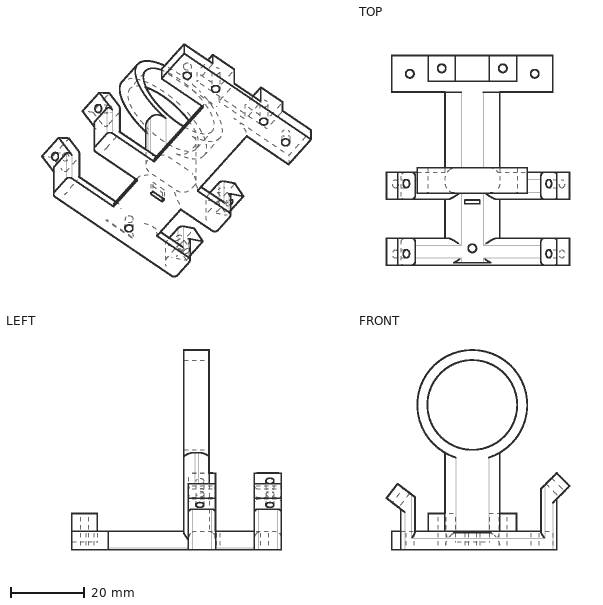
import cadquery as cq
import math

total_depth = 57.15
base_height = 5.15
hole_diameter = 2.2

spine_width = 15.0
spine_front = 0.7
spine_edge_radius = 4.5
column_depth = 7.0
column_front = 19.65
column_edge_radius = 3.0

ring_outer_diameter = 30.0
ring_inner_diameter = 24.4
total_height = 54.5
ring_center_z = total_height - ring_outer_diameter / 2

arm_depth = 7.45
arm_pitch = 17.95
beam_edge_radius = 2.0
post_inner_radius = 1.05
post_outer_radius = 1.15
tip_length = 6.05
tip_thickness = 5.0
tip_hole_shift = 0.6

left_post = dict(side=-1, inner_x=15.55, outer_x=19.5, bend_z=14.35, tilt=37.5)
right_post = dict(side=1, inner_x=18.7, outer_x=23.05, bend_z=16.65, tilt=45.0)

flange_width = 43.9
flange_depth = 10.0
block_span = 24.1
block_width = 7.5
block_depth = 7.05
block_top = 9.95
pocket_floor = 2.2

spine_hole_y = 4.65
slot_width = 4.0
slot_depth = 1.0
slot_y = 17.25


def box(x_min, x_max, y_min, y_max, z_max):
    """Box standing on the ground plane."""
    return cq.Workplane("XY").box(
        x_max - x_min, y_max - y_min, z_max, centered=False
    ).translate((x_min, y_min, 0))


def prism(points, y_min, depth):
    """Outline in X and Z, extruded toward +Y."""
    return cq.Workplane("XZ", origin=(0, y_min, 0)).polyline(points).close().extrude(-depth)


def vertical_hole(x, y):
    return cq.Workplane("XY").center(x, y).circle(hole_diameter / 2).extrude(total_height)


def make_spine():
    half = spine_width / 2
    spine = box(-half, half, spine_front, total_depth - flange_depth, base_height)
    return spine.edges("|Y and >Z").fillet(spine_edge_radius)


def make_column_and_ring():
    half = spine_width / 2
    column = box(-half, half, column_front, column_front + column_depth, ring_center_z)
    column = column.edges("|Z").fillet(column_edge_radius)
    ring_plane = cq.Workplane("XZ", origin=(0, column_front, ring_center_z))
    ring = ring_plane.circle(ring_outer_diameter / 2).extrude(-column_depth)
    bore = ring_plane.circle(ring_inner_diameter / 2).extrude(-column_depth)
    return column.union(ring).cut(bore)


def make_post(y_min, hole_y, side, inner_x, outer_x, bend_z, tilt):
    """Rounded upright whose drilled tip leans outward by tilt degrees above horizontal."""
    cos_tilt = math.cos(math.radians(tilt))
    sin_tilt = math.sin(math.radians(tilt))

    def tip_point(along, below):
        """Point measured along the tip's upper face and square below that face."""
        x = inner_x + along * cos_tilt + below * sin_tilt
        z = bend_z + along * sin_tilt - below * cos_tilt
        return (side * x, z)

    outer_top_z = bend_z + (outer_x - inner_x) * sin_tilt / cos_tilt
    upright = prism(
        [
            (side * inner_x, 0),
            (side * inner_x, bend_z),
            (side * outer_x, outer_top_z),
            (side * outer_x, 0),
        ],
        y_min,
        arm_depth,
    )
    inner_edges, outer_edges = ("<X", ">X") if side > 0 else (">X", "<X")
    upright = upright.faces(inner_edges).edges("|Z").fillet(post_inner_radius)
    upright = upright.faces(outer_edges).edges("|Z").fillet(post_outer_radius)

    upper_start = post_inner_radius / cos_tilt
    lower_start = (outer_x - post_outer_radius - inner_x - tip_thickness * sin_tilt) / cos_tilt
    tip = prism(
        [
            tip_point(upper_start, 0),
            tip_point(tip_length, 0),
            tip_point(tip_length, tip_thickness),
            tip_point(lower_start, tip_thickness),
        ],
        y_min,
        arm_depth,
    )

    hole_x, hole_z = tip_point(tip_length / 2, 0)
    hole = cq.Workplane(
        cq.Plane(
            origin=(hole_x, hole_y, hole_z),
            xDir=(0, 1, 0),
            normal=(side * sin_tilt, 0, -cos_tilt),
        )
    ).circle(hole_diameter / 2).extrude(tip_thickness)
    return upright.union(tip).cut(hole)


def make_arm(y_min, hole_offset):
    """Cross beam with a post at each end; hole_offset moves the tip holes off the arm's middle."""
    beam_left = -(left_post["outer_x"] - post_outer_radius)
    beam_right = right_post["outer_x"] - post_outer_radius
    arm = box(beam_left, beam_right, y_min, y_min + arm_depth, base_height)
    arm = arm.edges("|X and >Z").fillet(beam_edge_radius)
    for post in (left_post, right_post):
        arm = arm.union(make_post(y_min, y_min + arm_depth / 2 + hole_offset, **post))
    return arm


def make_flange():
    half = flange_width / 2
    flange = box(-half, half, total_depth - flange_depth, total_depth, base_height)
    block_x = (block_span - block_width) / 2
    ear_hole_x = (flange_width + block_span) / 4
    for side in (-1, 1):
        center = side * block_x
        block = box(
            center - block_width / 2,
            center + block_width / 2,
            total_depth - block_depth,
            total_depth,
            block_top,
        )
        flange = flange.union(block)
        flange = flange.cut(vertical_hole(center, total_depth - block_depth / 2))
        flange = flange.cut(vertical_hole(side * ear_hole_x, total_depth - flange_depth / 2))
    pocket_half = block_span / 2 - block_width
    pocket = box(-pocket_half, pocket_half, total_depth - block_depth, total_depth, base_height)
    flange = flange.cut(pocket.translate((0, 0, pocket_floor)))
    return flange


body = make_spine().union(make_flange())
body = body.union(make_arm(0, -tip_hole_shift))
body = body.union(make_arm(arm_pitch, tip_hole_shift))
body = body.union(make_column_and_ring())

slot = box(
    -slot_width / 2, slot_width / 2, slot_y - slot_depth / 2, slot_y + slot_depth / 2, base_height
)
result = body.cut(vertical_hole(0, spine_hole_y)).cut(slot)